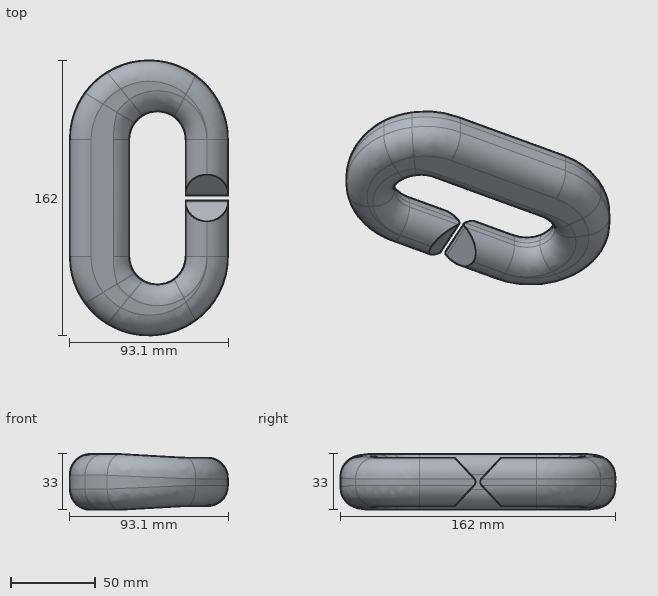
import cadquery as cq
import math

length = 162.0
width = 93.1
left_height = 33.0
right_height = 28.7

outer_radius = width / 2
bend_y = length / 2 - outer_radius
inner_radius = 16.5
inner_center_x = 5.0

right_bar_width = outer_radius - inner_center_x - inner_radius
right_flat_width = 0.25
corner_radius = (right_bar_width - right_flat_width) / 2

left_inner_corner_width = 9.5
tangent_angle = 144.0

slope_start_angle = 122.0
slope_end_angle = 54.0
flat_radius = outer_radius - corner_radius
slope_start_x = flat_radius * math.cos(math.radians(slope_start_angle))
slope_end_x = flat_radius * math.cos(math.radians(slope_end_angle))

opening_width = 2.8
tip_half_angle = 47.0
tip_radius = 2.8

bend_seam_angles = [180.0, tangent_angle, slope_start_angle, slope_end_angle, 0.0]
steps_per_span = 4


def half_height(x):
    """Half of the link height, blending linearly from the thick to the thin side."""
    thinning = (x - slope_start_x) / (slope_end_x - slope_start_x)
    thinning = min(max(thinning, 0.0), 1.0)
    return (left_height + (right_height - left_height) * thinning) / 2


def inner_corner_width(angle):
    """Width of the inner rounding, which becomes a full quarter round along the bend."""
    progress = min((180.0 - angle) / (180.0 - tangent_angle), 1.0)
    return left_inner_corner_width + (corner_radius - left_inner_corner_width) * progress**2


def bar_section(angle):
    """Closed cross-section of the upper bend, spanning its inner and outer circles at an angle."""
    cos_angle = math.cos(math.radians(angle))
    sin_angle = math.sin(math.radians(angle))
    inner = cq.Vector(inner_center_x + inner_radius * cos_angle, bend_y + inner_radius * sin_angle, 0)
    outer = cq.Vector(outer_radius * cos_angle, bend_y + outer_radius * sin_angle, 0)
    across = outer - inner
    thickness = across.Length
    direction = across.normalized()
    plane = cq.Plane(origin=inner, xDir=direction, normal=direction.cross(cq.Vector(0, 0, 1)))

    outer_flat = thickness - corner_radius
    outer_top = half_height((inner + direction * outer_flat).x)
    outer_side = outer_top - corner_radius
    diagonal = corner_radius * math.sqrt(0.5)
    outer_mid = (outer_flat + diagonal, outer_side + diagonal)

    inner_flat = inner_corner_width(angle)
    inner_top = half_height((inner + direction * inner_flat).x)
    sweep = math.acos((corner_radius - inner_flat) / corner_radius)
    inner_side = inner_top - corner_radius * math.sin(sweep)
    inner_mid = (
        corner_radius * (1 - math.cos(sweep / 2)),
        inner_side + corner_radius * math.sin(sweep / 2),
    )

    return (
        cq.Workplane(plane)
        .moveTo(inner_flat, inner_top)
        .lineTo(outer_flat, outer_top)
        .threePointArc(outer_mid, (thickness, outer_side))
        .lineTo(thickness, -outer_side)
        .threePointArc((outer_mid[0], -outer_mid[1]), (outer_flat, -outer_top))
        .lineTo(inner_flat, -inner_top)
        .threePointArc((inner_mid[0], -inner_mid[1]), (0, -inner_side))
        .lineTo(0, inner_side)
        .threePointArc(inner_mid, (inner_flat, inner_top))
        .close()
        .val()
    )


def straight_bar(angle, bar_length):
    """Straight bar running in -Y from the end of the upper bend."""
    return cq.Solid.extrudeLinear(bar_section(angle), [], cq.Vector(0, -bar_length, 0))


def bend_span(start_angle, end_angle):
    """Smooth loft through the cross-sections between two angles of the upper bend."""
    step = (end_angle - start_angle) / steps_per_span
    sections = [bar_section(start_angle + step * index) for index in range(steps_per_span + 1)]
    return cq.Solid.makeLoft(sections)


def tip_envelope():
    """Block above the opening whose lower side is a wedge with a rounded edge along X."""
    tip_y = opening_width / 2
    half_angle = math.radians(tip_half_angle)
    apex_y = tip_y - tip_radius * (1 / math.sin(half_angle) - 1)
    envelope_height = left_height
    wedge_end_y = apex_y + envelope_height / math.tan(half_angle)
    return (
        cq.Workplane("YZ")
        .moveTo(apex_y, 0)
        .lineTo(wedge_end_y, envelope_height)
        .lineTo(wedge_end_y + bend_y, envelope_height)
        .lineTo(wedge_end_y + bend_y, -envelope_height)
        .lineTo(wedge_end_y, -envelope_height)
        .close()
        .extrude(width)
        .edges("<Y")
        .fillet(tip_radius)
    )


right_stub = cq.Workplane(straight_bar(0.0, bend_y)).intersect(tip_envelope())
upper_half = cq.Workplane(straight_bar(180.0, bend_y)).union(right_stub)
for start_angle, end_angle in zip(bend_seam_angles, bend_seam_angles[1:]):
    upper_half = upper_half.union(cq.Workplane(bend_span(start_angle, end_angle)))

result = upper_half.union(upper_half.mirror("XZ")).clean().solids()